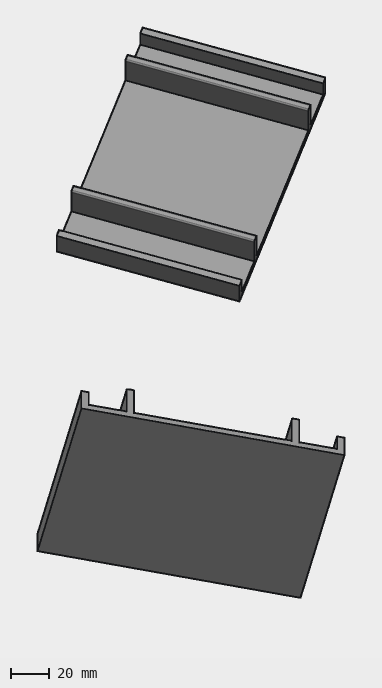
import cadquery as cq

LENGTH = 100.0
WIDTH = 140.0
HEIGHT = 22.0

FLOOR_THICKNESS = 4.0
WALL_THICKNESS = 4.0
SIDE_WALL_HEIGHT = 14.0
RAIL_SPACING = 88.0
RAIL_EDGE_RADIUS = 0.8


def wall(center_y, height):
    """Upright wall running the full length, standing from the underside."""
    return (
        cq.Workplane("XY")
        .center(0, center_y)
        .rect(LENGTH, WALL_THICKNESS)
        .extrude(height)
    )


def rail(center_y):
    """Tall wall with its two long top edges rounded."""
    return wall(center_y, HEIGHT).faces(">Z").edges("|X").fillet(RAIL_EDGE_RADIUS)


result = cq.Workplane("XY").rect(LENGTH, WIDTH).extrude(FLOOR_THICKNESS)

for side in (-1, 1):
    side_wall_y = side * (WIDTH - WALL_THICKNESS) / 2
    rail_y = side * RAIL_SPACING / 2
    result = result.union(wall(side_wall_y, SIDE_WALL_HEIGHT)).union(rail(rail_y))